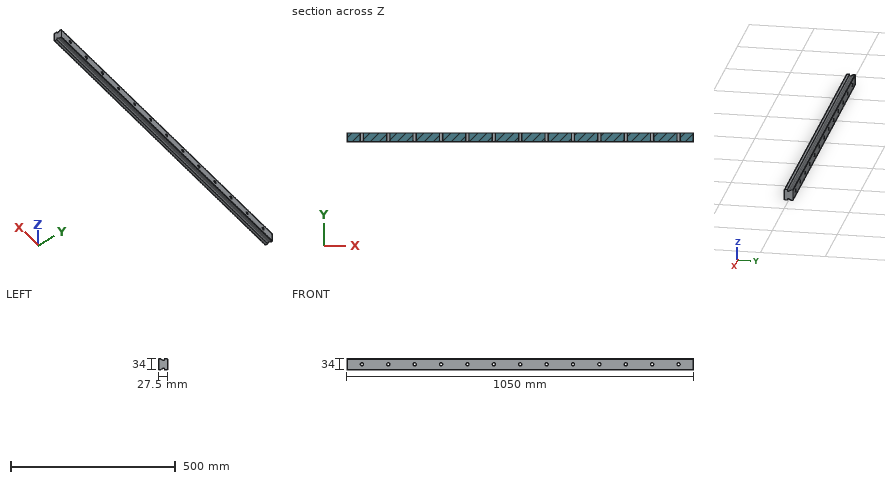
import math

import cadquery as cq

LENGTH = 1050.0
HEIGHT = 27.5
WIDTH = 34.0

GROOVE_START_HEIGHT = 9.75
GROOVE_END_HEIGHT = 22.25
GROOVE_WALL_DRAFT = 10.0
GROOVE_SLOPE_ANGLE = 30.0
GROOVE_ROOT_RADIUS = 2.5
HEAD_SHOULDER_RADIUS = 5.0

BASE_CHAMFER = 2.0
HEAD_CHAMFER = 1.25

HOLE_DIAMETER = 9.0
HOLE_PITCH = 80.0
HOLE_COUNT = 13

BASE_Y = -HEIGHT / 2
HEAD_Y = HEIGHT / 2
FLANK_Z = WIDTH / 2

GROOVE_START_Y = BASE_Y + GROOVE_START_HEIGHT
GROOVE_END_Y = BASE_Y + GROOVE_END_HEIGHT
WALL_RUN = math.tan(math.radians(GROOVE_WALL_DRAFT))
SLOPE_RUN = 1 / math.tan(math.radians(GROOVE_SLOPE_ANGLE))
ROOT_DEPTH = (GROOVE_END_Y - GROOVE_START_Y) / (WALL_RUN + SLOPE_RUN)
ROOT_Y = GROOVE_START_Y + ROOT_DEPTH * WALL_RUN
ROOT_Z = FLANK_Z - ROOT_DEPTH

SELECTION_MARGIN = 0.01


def long_edge_at(y, z):
    """Selector for the edge running along X through the point (y, z)."""
    m = SELECTION_MARGIN
    return cq.selectors.BoxSelector((-m, y - m, z - m), (m, y + m, z + m))


def half_rail():
    """The +Z half of the rail, with its groove corners rounded."""
    section = [
        (BASE_Y, 0),
        (BASE_Y, FLANK_Z - BASE_CHAMFER),
        (BASE_Y + BASE_CHAMFER, FLANK_Z),
        (GROOVE_START_Y, FLANK_Z),
        (ROOT_Y, ROOT_Z),
        (GROOVE_END_Y, FLANK_Z),
        (HEAD_Y - HEAD_CHAMFER, FLANK_Z),
        (HEAD_Y, FLANK_Z - HEAD_CHAMFER),
        (HEAD_Y, 0),
    ]
    half = cq.Workplane("YZ").polyline(section).close().extrude(LENGTH / 2, both=True)
    half = half.edges(long_edge_at(ROOT_Y, ROOT_Z)).fillet(GROOVE_ROOT_RADIUS)
    return half.edges(long_edge_at(GROOVE_END_Y, FLANK_Z)).fillet(HEAD_SHOULDER_RADIUS)


def rail_body():
    upper = half_rail()
    return upper.union(upper.mirror("XY")).clean()


def drill_mounting_holes(body):
    """A single centred row of plain holes along X, through the height."""
    row = cq.Workplane("XZ").rarray(HOLE_PITCH, 1, HOLE_COUNT, 1)
    drills = row.circle(HOLE_DIAMETER / 2).extrude(HEIGHT, both=True)
    return body.cut(drills)


result = drill_mounting_holes(rail_body())